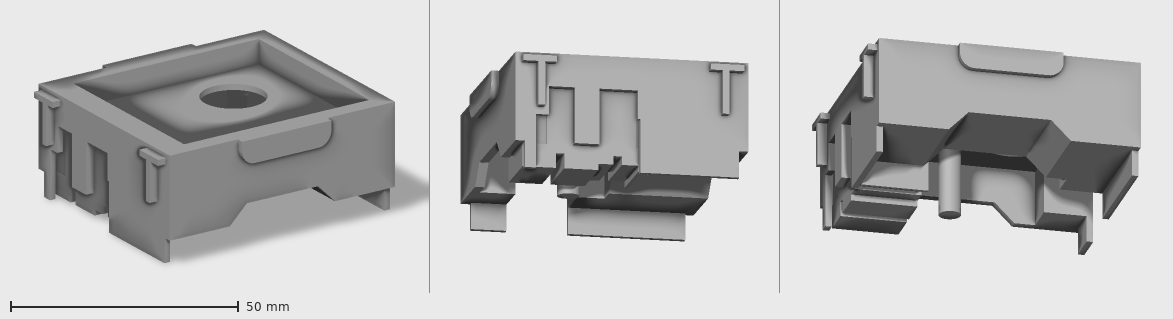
import cadquery as cq


body_width = 52.3
body_depth = 59.35
total_height = 26.0
leg_height = 5.95
side_wall = 2.1
end_wall = 1.5

recess_depth = 6.0
recess_rim = 4.05
recess_front_rim = 6.45
plate_thickness = 1.4
hole_diameter = 15.0
hole_x = 17.05
hole_y = 40.05
plate_bottom = total_height - recess_depth - plate_thickness

arch_height = 4.5
arch_half_top = 9.35
arch_half_bottom = arch_half_top + arch_height

cavity_right = 30.0
cavity_back = 48.2
channel_left = 10.0
channel_right = 23.85

opening_left = 4.55
opening_right = 28.0
opening_top = total_height - 13.9
tall_opening_left = 7.45
tall_opening_right = 27.5

connector_left = 2.0
connector_right = 28.8
connector_front = 2.15
connector_back = 17.2
connector_bottom = 0.7
connector_raised_bottom = 2.1
connector_notch_top = 4.0
notch_left = 9.55
notch_left_end = 11.4
connector_step = 19.05
notch_right = 22.4
notch_right_end = 24.35
shoulder_setback = 0.2
tongue_left = 13.35
tongue_right = 18.9

pin_diameter = 5.0
pin_y = 25.0
pin_bottom = 0.25

grip_thickness = 1.7
grip_length = 23.5
grip_height = 5.7
grip_radius = 3.4

hook_projection = 2.15
hook_drop = 1.0
hook_bar_left = 1.35
hook_bar_length = 7.5
hook_bar_height = 1.4
hook_stem_left = 4.75
hook_stem_width = 1.5
hook_height = 11.25


def block(x_range, y_range, z_range):
    """Box spanning the given (low, high) ranges."""
    sizes = [high - low for low, high in (x_range, y_range, z_range)]
    corner = (x_range[0], y_range[0], z_range[0])
    return cq.Workplane("XY").box(*sizes, centered=False).translate(corner)


def cylinder(diameter, x, y, z_range):
    """Upright cylinder between two heights."""
    plane = cq.Workplane("XY", origin=(x, y, z_range[0]))
    return plane.circle(diameter / 2).extrude(z_range[1] - z_range[0])


def housing():
    """Solid upper body with a low wall (leg) along the front and the back."""
    body = block((0, body_width), (0, body_depth), (leg_height, total_height))
    leg_span = (side_wall, body_width - side_wall)
    for leg_start in (0, body_depth - end_wall):
        leg = block(leg_span, (leg_start, leg_start + end_wall), (0, total_height))
        body = body.union(leg)
    return body


def arch():
    middle = body_depth / 2
    outline = [
        (middle - arch_half_bottom, leg_height),
        (middle - arch_half_top, leg_height + arch_height),
        (middle + arch_half_top, leg_height + arch_height),
        (middle + arch_half_bottom, leg_height),
    ]
    return cq.Workplane("YZ").polyline(outline).close().extrude(body_width)


def recess():
    return block(
        (recess_rim, body_width - recess_rim),
        (recess_front_rim, body_depth - recess_rim),
        (total_height - recess_depth, total_height),
    )


def cavity():
    """Cavity, its back channel and the stepped opening in the front wall."""
    heights = (0, plate_bottom)
    room = block((side_wall, cavity_right), (end_wall, cavity_back), heights)
    channel = block((channel_left, channel_right), (cavity_back, body_depth), heights)
    wide_opening = block((opening_left, opening_right), (0, end_wall), (0, opening_top))
    tall_opening = block((tall_opening_left, tall_opening_right), (0, end_wall), heights)
    return room.union(channel).union(wide_opening).union(tall_opening)


def connector():
    """Block with a stepped, notched underside, set-back shoulders and a front tongue."""
    outline = [
        (connector_left, connector_bottom),
        (notch_left, connector_bottom),
        (notch_left, connector_notch_top),
        (notch_left_end, connector_notch_top),
        (notch_left_end, connector_bottom),
        (connector_step, connector_bottom),
        (connector_step, connector_raised_bottom),
        (notch_right, connector_raised_bottom),
        (notch_right, connector_notch_top),
        (notch_right_end, connector_notch_top),
        (notch_right_end, connector_raised_bottom),
        (opening_right, connector_raised_bottom),
        (opening_right, connector_bottom),
        (connector_right, connector_bottom),
        (connector_right, plate_bottom),
        (connector_left, plate_bottom),
    ]
    front_plane = cq.Workplane("XZ", origin=(0, connector_front, 0))
    base = front_plane.polyline(outline).close().extrude(connector_front - connector_back)
    setback = (connector_front, connector_front + shoulder_setback)
    for shoulder in ((connector_left, tall_opening_left), (tall_opening_right, connector_right)):
        base = base.cut(block(shoulder, setback, (leg_height, plate_bottom)))
    tongue = block((tongue_left, tongue_right), (0, connector_front), (leg_height, plate_bottom))
    return base.union(tongue)


def grips():
    """Ear on each side, made as one bar with rounded lower edges that crosses the body."""
    start = (body_depth - grip_length) / 2
    bar = block(
        (-grip_thickness, body_width + grip_thickness),
        (start, start + grip_length),
        (total_height - grip_height, total_height),
    )
    return bar.edges("|X and <Z").fillet(grip_radius)


def hook():
    """Left T-shaped hook."""
    top = total_height - hook_drop
    reach = (-hook_projection, 0)
    bar = block((hook_bar_left, hook_bar_left + hook_bar_length), reach, (top - hook_bar_height, top))
    stem = block((hook_stem_left, hook_stem_left + hook_stem_width), reach, (top - hook_height, top))
    return bar.union(stem)


left_hook = hook()
right_hook = left_hook.mirror("YZ", (body_width / 2, 0, 0))
hole = cylinder(hole_diameter, hole_x, hole_y, (plate_bottom, total_height))
pin = cylinder(pin_diameter, hole_x, pin_y, (pin_bottom, plate_bottom))

result = (
    housing()
    .union(grips())
    .cut(arch())
    .cut(recess())
    .cut(cavity())
    .cut(hole)
    .union(connector())
    .union(pin)
    .union(left_hook)
    .union(right_hook)
)